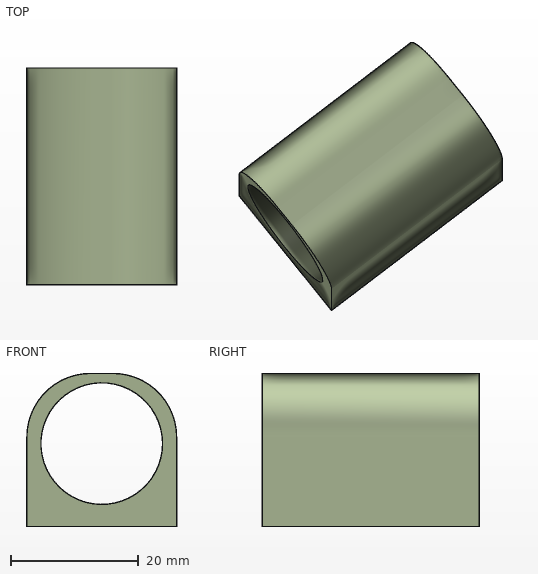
import cadquery as cq

width = 23.5
length = 34.0
height = 24.0
corner_radius = 10.0
bore_diameter = 19.0
bore_height = 13.0


def make_body():
    """Block with a flat base, centred on X and Y, and rounded upper long edges."""
    block = cq.Workplane("XY").box(width, length, height, centered=(True, True, False))
    return block.faces(">Z").edges("|Y").fillet(corner_radius)


def make_bore():
    """Cylinder along Y that passes through the whole body."""
    return (
        cq.Workplane("XZ")
        .center(0, bore_height)
        .circle(bore_diameter / 2)
        .extrude(length / 2, both=True)
    )


result = make_body().cut(make_bore())